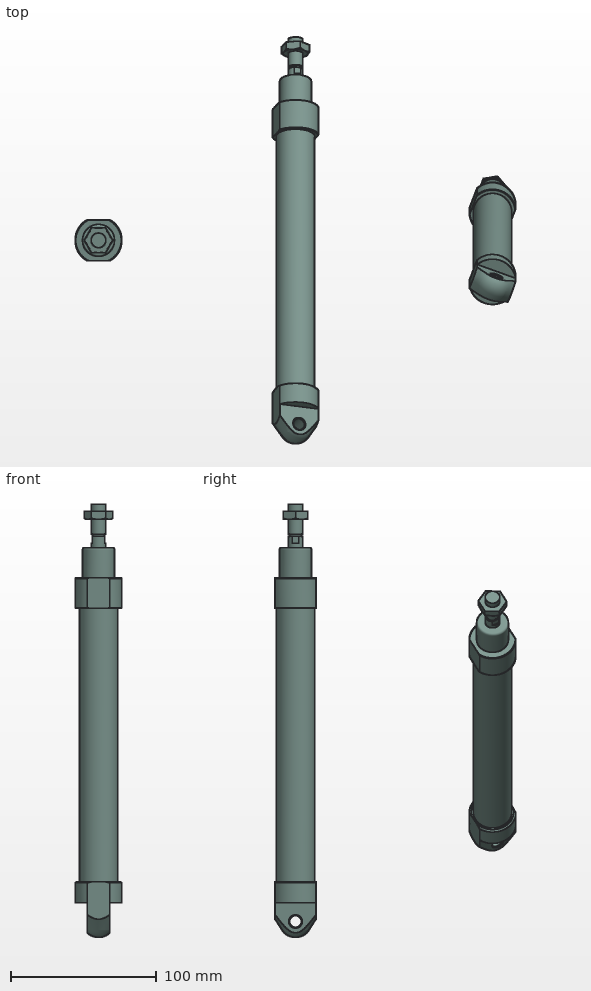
import cadquery as cq
import math

COLLAR_BOTTOM = 23.8
COLLAR_TOP = 38.3
HEAD_BOTTOM = 225.7
HEAD_TOP = 246.5
BOSS_TOP = 267.3
ROD_TOP = 297.0

TUBE_DIAMETER = 26.5
HEAD_DIAMETER = 32.0
HEAD_ACROSS_FLATS = 28.2
HEAD_CHAMFER = 0.45
COLLAR_CHAMFER_WIDTH = 1.5
COLLAR_CHAMFER_HEIGHT = 1.0
BOSS_DIAMETER = 22.0
BOSS_FILLET = 1.5
LUG_WIDTH = 15.7
LUG_TIP_RADIUS = 11.0
LUG_CONE_ANGLE = 57
PIN_HOLE_DIAMETER = 8.0
PIN_HOLE_CHAMFER = 0.5
PIN_HOLE_HEIGHT = 11.0

ROD_DIAMETER = 10.0
ROD_SEAT = HEAD_TOP
GROOVE_DIAMETER = 8.3
GROOVE_BOTTOM = 275.0
GROOVE_HEIGHT = 1.5
ROD_ACROSS_FLATS = 9.0
FLATS_BOTTOM = 270.3

NUT_ACROSS_FLATS = 17.0
NUT_BOTTOM = 286.5
NUT_HEIGHT = 5.5
NUT_CHAMFER_ANGLE = 30


def disc(diameter, bottom, top):
    """Upright cylinder on the Z axis."""
    return cq.Workplane("XY").workplane(offset=bottom).circle(diameter / 2).extrude(top - bottom)


def block(size_x, size_y, bottom, top):
    """Upright block centred on the Z axis."""
    return cq.Workplane("XY").workplane(offset=bottom).rect(size_x, size_y).extrude(top - bottom)


def add_flats(body, bottom, top):
    """Trim a round body to the two flats facing -Y and +Y."""
    return body.intersect(block(HEAD_DIAMETER, HEAD_ACROSS_FLATS, bottom, top))


def make_collar():
    """Rear collar, with its round upper edge bevelled towards the tube."""
    body = (
        disc(HEAD_DIAMETER, COLLAR_BOTTOM, COLLAR_TOP)
        .faces(">Z")
        .chamfer(COLLAR_CHAMFER_HEIGHT, COLLAR_CHAMFER_WIDTH)
    )
    return add_flats(body, COLLAR_BOTTOM, COLLAR_TOP)


def make_head():
    """Front head, with both round edges lightly chamfered."""
    body = disc(HEAD_DIAMETER, HEAD_BOTTOM, HEAD_TOP).faces("<Z or >Z").chamfer(HEAD_CHAMFER)
    return add_flats(body, HEAD_BOTTOM, HEAD_TOP)


def make_lug():
    """Pivot lug: a flat tongue cut from a cone with a spherical tip, crossed by the pin hole."""
    angle = math.radians(LUG_CONE_ANGLE)
    radius = HEAD_DIAMETER / 2
    tangent_r = LUG_TIP_RADIUS * math.sin(angle)
    tangent_z = LUG_TIP_RADIUS * (1 - math.cos(angle))
    cone_top = tangent_z + (radius - tangent_r) * math.tan(angle)
    arc_mid = (
        LUG_TIP_RADIUS * math.sin(angle / 2),
        LUG_TIP_RADIUS * (1 - math.cos(angle / 2)),
    )
    envelope = (
        cq.Workplane("XZ")
        .moveTo(0, 0)
        .threePointArc(arc_mid, (tangent_r, tangent_z))
        .lineTo(radius, cone_top)
        .lineTo(radius, COLLAR_BOTTOM)
        .lineTo(0, COLLAR_BOTTOM)
        .close()
        .revolve(360, (0, 0, 0), (0, 1, 0))
    )
    tongue = block(LUG_WIDTH, HEAD_ACROSS_FLATS, 0, COLLAR_BOTTOM)
    pin_hole = (
        cq.Workplane("YZ")
        .center(0, PIN_HOLE_HEIGHT)
        .circle(PIN_HOLE_DIAMETER / 2)
        .extrude(LUG_WIDTH, both=True)
    )
    lug = envelope.intersect(tongue).cut(pin_hole)
    reach = PIN_HOLE_DIAMETER / 4
    hole_rims = cq.selectors.BoxSelector(
        (-LUG_WIDTH, -reach, PIN_HOLE_HEIGHT - reach),
        (LUG_WIDTH, reach, PIN_HOLE_HEIGHT + reach),
    )
    return lug.faces("<X or >X").edges(hole_rims).chamfer(PIN_HOLE_CHAMFER)


def make_housing():
    """Tube with its end collars, front boss and pivot lug, bored for the rod."""
    boss = disc(BOSS_DIAMETER, HEAD_TOP, BOSS_TOP).faces(">Z").edges().fillet(BOSS_FILLET)
    return (
        disc(TUBE_DIAMETER, COLLAR_TOP, HEAD_BOTTOM)
        .union(make_collar())
        .union(make_head())
        .union(boss)
        .union(make_lug())
        .cut(disc(ROD_DIAMETER, ROD_SEAT, BOSS_TOP))
    )


def make_rod():
    """Piston rod with a groove and two wrench flats facing -X and +X."""
    groove_top = GROOVE_BOTTOM + GROOVE_HEIGHT
    groove = disc(ROD_DIAMETER, GROOVE_BOTTOM, groove_top).cut(
        disc(GROOVE_DIAMETER, GROOVE_BOTTOM, groove_top)
    )
    flats = disc(ROD_DIAMETER, FLATS_BOTTOM, GROOVE_BOTTOM).cut(
        block(ROD_ACROSS_FLATS, ROD_DIAMETER, FLATS_BOTTOM, GROOVE_BOTTOM)
    )
    return disc(ROD_DIAMETER, ROD_SEAT, ROD_TOP).cut(groove).cut(flats)


def make_nut():
    """Hexagon lock nut with corners on the X axis, chamfered at its lower corners."""
    across_corners = NUT_ACROSS_FLATS / math.cos(math.pi / 6)
    corner_overhang = (across_corners - NUT_ACROSS_FLATS) / 2
    chamfer_height = corner_overhang * math.tan(math.radians(NUT_CHAMFER_ANGLE))
    hexagon = (
        cq.Workplane("XY")
        .workplane(offset=NUT_BOTTOM)
        .polygon(6, across_corners)
        .extrude(NUT_HEIGHT)
    )
    envelope = (
        disc(across_corners, NUT_BOTTOM, NUT_BOTTOM + NUT_HEIGHT)
        .faces("<Z")
        .chamfer(chamfer_height, corner_overhang)
    )
    thread_hole = disc(ROD_DIAMETER, NUT_BOTTOM, NUT_BOTTOM + NUT_HEIGHT)
    return hexagon.intersect(envelope).cut(thread_hole)


housing = make_housing()
rod = make_rod()
nut = make_nut()

result = cq.Compound.makeCompound([housing.val(), rod.val(), nut.val()])